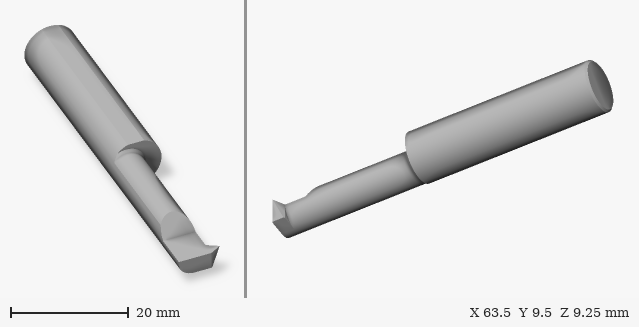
import cadquery as cq
import math

overall_length = 63.5
shank_radius = 4.75
shank_length = 35.6
shank_flat_height = 4.5
end_chamfer = 0.4

neck_radius = 3.2
neck_center_y = -1.85
neck_top_y = neck_center_y + neck_radius
collar_length = 0.6
collar_flare = 0.45

rake_length = 6.4
ramp_length = 3.1
rake_start = overall_length - rake_length

tooth_tip_y = 3.4
tooth_angle = 60.0
tooth_height = tooth_tip_y - neck_top_y
tooth_half_width = tooth_height * math.tan(math.radians(tooth_angle / 2))
tooth_tip_x = overall_length - tooth_half_width
relief_depth = 3.2
relief_angle = 30.0


def make_shank():
    """Round shank with a chamfered rear end and a locating flat on top."""
    shank = cq.Workplane("YZ").circle(shank_radius).extrude(shank_length)
    shank = shank.faces("<X").chamfer(end_chamfer)
    flat_cut = (
        cq.Workplane("XY")
        .workplane(offset=shank_flat_height)
        .rect(2 * shank_length, 2 * shank_radius)
        .extrude(shank_radius)
    )
    return shank.cut(flat_cut)


def make_neck():
    """Offset neck with a conical collar at the shoulder and a ramped rake face."""
    neck_length = overall_length - shank_length
    neck = (
        cq.Workplane("YZ", origin=(shank_length, neck_center_y, 0))
        .circle(neck_radius)
        .extrude(neck_length)
    )
    collar = (
        cq.Workplane("YZ", origin=(shank_length, neck_center_y, 0))
        .circle(neck_radius + collar_flare)
        .workplane(offset=collar_length)
        .circle(neck_radius)
        .loft()
    )
    envelope = (
        cq.Workplane("YZ", origin=(shank_length, 0, 0))
        .circle(shank_radius)
        .extrude(neck_length)
    )
    rake_cut = (
        cq.Workplane("XZ")
        .moveTo(rake_start - ramp_length, neck_radius)
        .lineTo(rake_start, 0)
        .lineTo(overall_length, 0)
        .lineTo(overall_length, neck_radius)
        .close()
        .extrude(2 * shank_radius, both=True)
    )
    return neck.union(collar).intersect(envelope).cut(rake_cut)


def make_tooth():
    """Pointed tooth below the rake face, with its tip leaning back for clearance."""
    root_x = tooth_tip_x - tooth_half_width
    blank = (
        cq.Workplane("XY")
        .moveTo(root_x, neck_center_y)
        .lineTo(root_x, neck_top_y)
        .lineTo(tooth_tip_x, tooth_tip_y)
        .lineTo(overall_length, neck_top_y)
        .lineTo(overall_length, neck_center_y)
        .close()
        .extrude(-relief_depth)
    )
    setback = relief_depth * math.tan(math.radians(relief_angle))
    relief_profile = (
        cq.Workplane("YZ", origin=(root_x, 0, 0))
        .moveTo(neck_center_y, 0)
        .lineTo(tooth_tip_y, 0)
        .lineTo(tooth_tip_y - setback, -relief_depth)
        .lineTo(neck_center_y, -relief_depth)
        .close()
    )
    return blank.intersect(relief_profile.extrude(2 * tooth_half_width))


result = make_shank().union(make_neck()).union(make_tooth())